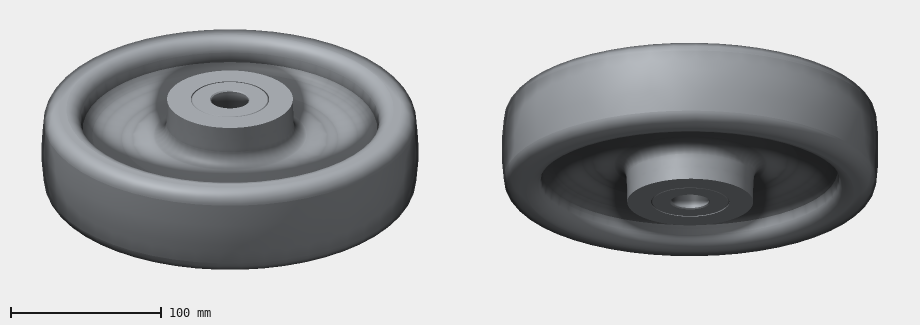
import cadquery as cq
import math


tread_radius = 124.8
rim_half_width = 30.0
shoulder_radius = 123.3
shoulder_height = 21.5
side_face_outer_radius = 113.5
side_face_inner_radius = 108.4
lip_radius = 98.9
lip_height = 21.5
wall_step_radius = 98.0
wall_step_height = 17.5
rim_fillet_radius = 97.5
rim_fillet_height = 15.0

web_outer_radius = 91.1
web_valley_radius = 71.7
web_valley_height = 8.0
web_arc_radius = 75.0

hub_half_length = 37.5
hub_top_radius = 41.7
hub_base_radius = 42.2
hub_base_height = 19.7
hub_fillet_radius = 51.0

bearing_radius = 26.0
bearing_width = 15.0
bearing_bore_radius = 12.5
outer_chamfer = 1.0
bore_chamfer = 0.7


def web_point(radius):
    """Point of the concave web surface at a given radius."""
    offset = radius - web_valley_radius
    rise = web_arc_radius - math.sqrt(web_arc_radius**2 - offset**2)
    return (radius, web_valley_height + rise)


def revolve_about_z(profile):
    """Revolve a profile of radius and height about the Z axis."""
    return profile.close().revolve(360, (0, 0, 0), (0, 1, 0))


def make_tread_band():
    """Band around the rim with the slightly crowned tread as its outer surface."""
    return revolve_about_z(
        cq.Workplane("XZ")
        .moveTo(side_face_outer_radius, -shoulder_height)
        .lineTo(shoulder_radius, -shoulder_height)
        .threePointArc((tread_radius, 0), (shoulder_radius, shoulder_height))
        .lineTo(side_face_outer_radius, shoulder_height)
    )


def make_wheel():
    """Rim, dished web and hub with a plain bore through it."""
    upper_half = revolve_about_z(
        cq.Workplane("XZ")
        .moveTo(bearing_radius, 0)
        .lineTo(bearing_radius, hub_half_length)
        .lineTo(hub_top_radius, hub_half_length)
        .lineTo(hub_base_radius, hub_base_height)
        .tangentArcPoint(web_point(hub_fillet_radius), relative=False)
        .threePointArc(
            web_point((hub_fillet_radius + web_valley_radius) / 2),
            web_point(web_valley_radius),
        )
        .threePointArc(
            web_point((web_valley_radius + web_outer_radius) / 2),
            web_point(web_outer_radius),
        )
        .tangentArcPoint((rim_fillet_radius, rim_fillet_height), relative=False)
        .lineTo(wall_step_radius, wall_step_height)
        .lineTo(lip_radius, lip_height)
        .tangentArcPoint((side_face_inner_radius, rim_half_width), relative=False)
        .lineTo(side_face_outer_radius, rim_half_width)
        .tangentArcPoint((shoulder_radius, shoulder_height), relative=False)
        .lineTo(side_face_outer_radius, shoulder_height)
        .lineTo(side_face_outer_radius, 0)
    )
    return upper_half.union(upper_half.mirror("XY")).union(make_tread_band())


def make_bearing(bottom):
    """Bearing ring standing on the given height, chamfered at both ends."""
    top = bottom + bearing_width
    return revolve_about_z(
        cq.Workplane("XZ")
        .moveTo(bearing_bore_radius, bottom + bore_chamfer)
        .lineTo(bearing_bore_radius, top - bore_chamfer)
        .lineTo(bearing_bore_radius + bore_chamfer, top)
        .lineTo(bearing_radius - outer_chamfer, top)
        .lineTo(bearing_radius, top - outer_chamfer)
        .lineTo(bearing_radius, bottom + outer_chamfer)
        .lineTo(bearing_radius - outer_chamfer, bottom)
        .lineTo(bearing_bore_radius + bore_chamfer, bottom)
    )


wheel = make_wheel()

bearings = []
for bearing_bottom in (-hub_half_length, hub_half_length - bearing_width):
    bearings.append(make_bearing(bearing_bottom).val())

result = cq.Compound.makeCompound([*wheel.solids().vals(), *bearings])